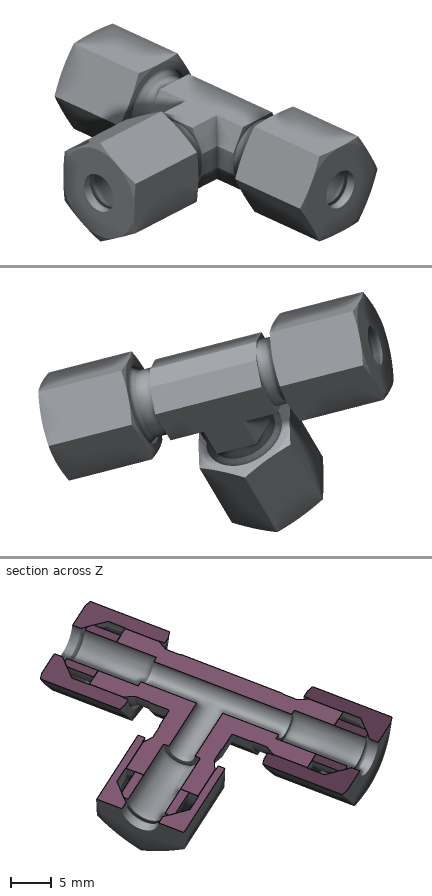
import cadquery as cq
import math

ARM_REACH = 21.0
TUBE_DIAMETER = 5.0

BORE_DIAMETER = 3.53
TUBE_STOP = 9.5
BLOCK_REACH = 7.0
BLOCK_HEIGHT = 9.0
BLOCK_WIDTH = 8.65
NECK_DIAMETER = 8.5
NECK_END = 9.05
RUNOUT_ANGLE = 30.0
THREAD_DIAMETER = 10.0
SPIGOT_END = 15.0

NUT_FLATS = 12.0
NUT_LENGTH = 11.45
NUT_CHAMFER_DEPTH = 0.25
TUBE_HOLE_DEPTH = 1.18

RING_DIAMETER = 7.48
RING_FACE_OFFSET = 0.55

NUT_CORNERS = NUT_FLATS / math.cos(math.pi / 6)
NUT_START = ARM_REACH - NUT_LENGTH
SEAT_START = ARM_REACH - TUBE_HOLE_DEPTH
RING_END = SEAT_START - RING_FACE_OFFSET
RUNOUT_LENGTH = (THREAD_DIAMETER - NECK_DIAMETER) / 2 / math.tan(math.radians(RUNOUT_ANGLE))
THREAD_START = NECK_END + RUNOUT_LENGTH

BRANCH_ANGLE = -90

ARM_ANGLES = (180, 0, BRANCH_ANGLE)

NUT_ROLLS = (0, 0, 90)


def placed(arm_part, angle):
    """Turn a part built along +X to the direction of one arm."""
    return arm_part.rotate((0, 0, 0), (0, 0, 1), angle)


def cylinder(diameter, start, end):
    """Solid cylinder along X from start to end."""
    return cq.Workplane("YZ", origin=(start, 0, 0)).circle(diameter / 2).extrude(end - start)


def revolved(points):
    """Turn a profile of (axial, radial) points about the X axis."""
    return cq.Workplane("XY").polyline(points).close().revolve(360, (0, 0, 0), (1, 0, 0))


def block_bar(start, end):
    """Hexagonal bar along X, flat on top and bottom, with its two side corners truncated."""
    corners = BLOCK_HEIGHT / math.cos(math.pi / 6)
    bar = cq.Workplane("YZ", origin=(start, 0, 0)).polygon(6, corners).extrude(end - start)
    trim = cq.Workplane("YZ", origin=(start, 0, 0)).rect(BLOCK_WIDTH, BLOCK_HEIGHT).extrude(end - start)
    return bar.intersect(trim)


def make_spigot():
    """Undercut neck, runout cone and threaded end of one arm."""
    neck_radius = NECK_DIAMETER / 2
    thread_radius = THREAD_DIAMETER / 2
    return revolved([
        (BLOCK_REACH, 0),
        (BLOCK_REACH, neck_radius),
        (NECK_END, neck_radius),
        (THREAD_START, thread_radius),
        (SPIGOT_END, thread_radius),
        (SPIGOT_END, 0),
    ])


def make_tee():
    run = block_bar(-BLOCK_REACH, BLOCK_REACH)
    branch = placed(block_bar(0, BLOCK_REACH), BRANCH_ANGLE)
    tee = run.union(branch)
    for angle in ARM_ANGLES:
        tee = tee.union(placed(make_spigot(), angle))
    for angle in ARM_ANGLES:
        tee = tee.cut(placed(cylinder(BORE_DIAMETER, 0, TUBE_STOP), angle))
        tee = tee.cut(placed(cylinder(TUBE_DIAMETER, TUBE_STOP, SPIGOT_END), angle))
    return tee


def make_nut(roll):
    """Hexagon nut, turned by roll, with both ends chamfered and a stepped bore with a 45 degree seat."""
    nut = cq.Workplane("YZ", origin=(NUT_START, 0, 0)).polygon(6, NUT_CORNERS).extrude(NUT_LENGTH)
    nut = nut.rotate((0, 0, 0), (1, 0, 0), roll)
    face_radius = NUT_FLATS / 2
    corner_radius = NUT_CORNERS / 2
    nut = nut.intersect(revolved([
        (NUT_START, 0),
        (NUT_START, face_radius),
        (NUT_START + NUT_CHAMFER_DEPTH, corner_radius),
        (ARM_REACH - NUT_CHAMFER_DEPTH, corner_radius),
        (ARM_REACH, face_radius),
        (ARM_REACH, 0),
    ]))
    tube_radius = TUBE_DIAMETER / 2
    thread_radius = THREAD_DIAMETER / 2
    seat_depth = thread_radius - tube_radius
    return nut.cut(revolved([
        (NUT_START, 0),
        (NUT_START, thread_radius),
        (SEAT_START - seat_depth, thread_radius),
        (SEAT_START, tube_radius),
        (ARM_REACH, tube_radius),
        (ARM_REACH, 0),
    ]))


def make_ring():
    """Ring on the tube, held between the end of the spigot and the nut's 45 degree seat."""
    tube_radius = TUBE_DIAMETER / 2
    ring_radius = RING_DIAMETER / 2
    face_radius = tube_radius + RING_FACE_OFFSET
    bevel_depth = ring_radius - face_radius
    return revolved([
        (SPIGOT_END, tube_radius),
        (SPIGOT_END, ring_radius),
        (RING_END - bevel_depth, ring_radius),
        (RING_END, face_radius),
        (RING_END, tube_radius),
    ])


tee = make_tee()
nuts = [placed(make_nut(roll), angle) for angle, roll in zip(ARM_ANGLES, NUT_ROLLS)]
rings = [placed(make_ring(), angle) for angle in ARM_ANGLES]

result = cq.Compound.makeCompound([
    tee.val(),
    *[nut.val() for nut in nuts],
    *[ring.val() for ring in rings],
])